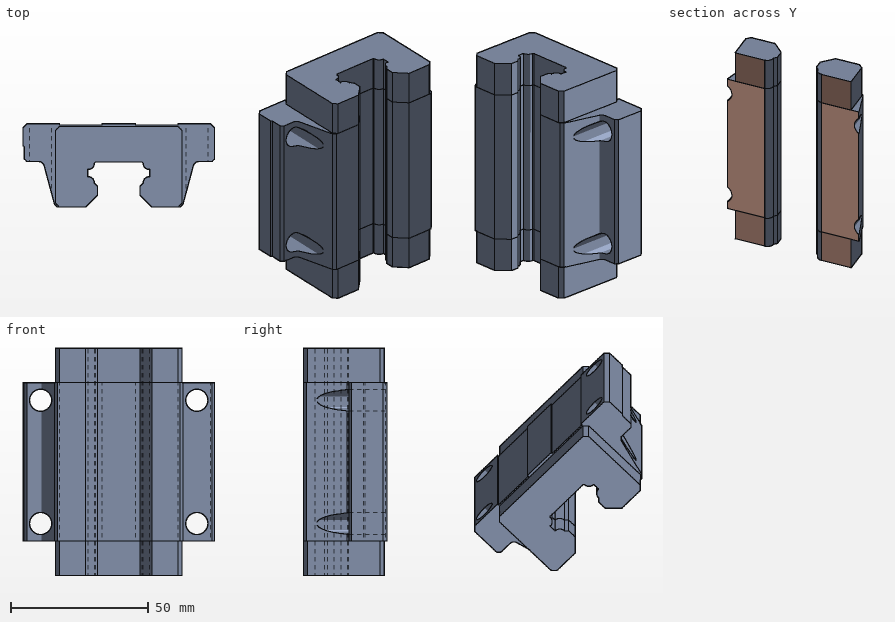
import cadquery as cq
import math


overall_length = 83.0
block_length = 57.8
cap_length = (overall_length - block_length) / 2
carriage_depth = 30.5

flange_width = 70.0
flange_thickness = 13.9
flange_top_chamfer = 1.5
flange_bottom_chamfer = 1.0
skirt_slope = math.radians(15)
skirt_half_width = 23.5
skirt_chamfer = 1.1
skirt_fillet = 2.0

edge_relief_depth = 0.5
edge_relief_start = 8.0

face_recess_depth = 0.5
face_recess_inner = 6.2
face_recess_outer = 21.6
face_recess_width = face_recess_outer - face_recess_inner

hole_diameter = 8.0
hole_spacing_x = 57.0
hole_spacing_z = 45.0

cap_width = 46.2
cap_top_drop = 1.0
cap_chamfer = 1.5
cap_depth = carriage_depth - cap_top_drop

channel_roof = 14.1
channel_half_throat = 7.75
channel_mouth_chamfer = 4.3
ball_line = 18.05
ball_row_offset = 3.65
ball_radius = 2.4
ball_center_x = 11.25
pocket_half_height = 1.3


def rail_channel():
    """Void swept by the rail and its ball rows, built on the +X half and mirrored."""
    upper_row = -ball_line + ball_row_offset
    lower_row = -ball_line - ball_row_offset
    nose_x = ball_center_x - ball_radius
    arc_middle = ball_radius * math.sqrt(0.5)
    pocket_rise = ball_row_offset - pocket_half_height
    pocket_edge_x = ball_center_x - math.sqrt(ball_radius**2 - pocket_rise**2)
    roof_x = nose_x + channel_roof + upper_row
    throat_top = lower_row - (nose_x - channel_half_throat)
    throat_bottom = -carriage_depth + channel_mouth_chamfer
    half = (
        cq.Workplane("XY")
        .moveTo(0, -channel_roof)
        .lineTo(roof_x, -channel_roof)
        .lineTo(nose_x, upper_row)
        .threePointArc(
            (ball_center_x - arc_middle, upper_row - arc_middle),
            (pocket_edge_x, -ball_line + pocket_half_height),
        )
        .lineTo(ball_center_x, -ball_line + pocket_half_height)
        .lineTo(ball_center_x, -ball_line - pocket_half_height)
        .lineTo(pocket_edge_x, -ball_line - pocket_half_height)
        .threePointArc(
            (ball_center_x - arc_middle, lower_row + arc_middle),
            (nose_x, lower_row),
        )
        .lineTo(channel_half_throat, throat_top)
        .lineTo(channel_half_throat, throat_bottom)
        .lineTo(channel_half_throat + channel_mouth_chamfer, -carriage_depth)
        .lineTo(0, -carriage_depth)
        .close()
        .extrude(overall_length / 2, both=True)
    )
    return half.union(half.mirror("YZ"))


def block_blank():
    """Flanged outline with sloped skirts, chamfered bottom corners and filleted flange roots."""
    half_flange = flange_width / 2
    skirt_end = -carriage_depth + skirt_chamfer
    root_x = skirt_half_width + (-flange_thickness - skirt_end) * math.tan(skirt_slope)
    half = (
        cq.Workplane("XY")
        .moveTo(0, 0)
        .lineTo(half_flange - flange_top_chamfer, 0)
        .lineTo(half_flange, -flange_top_chamfer)
        .lineTo(half_flange, -flange_thickness + flange_bottom_chamfer)
        .lineTo(half_flange - flange_bottom_chamfer, -flange_thickness)
        .lineTo(root_x, -flange_thickness)
        .lineTo(skirt_half_width, skirt_end)
        .lineTo(skirt_half_width - skirt_chamfer, -carriage_depth)
        .lineTo(0, -carriage_depth)
        .close()
        .extrude(block_length / 2, both=True)
    )
    root_edge = cq.selectors.NearestToPointSelector((root_x, -flange_thickness, 0))
    half = half.edges(root_edge).fillet(skirt_fillet)
    return half.union(half.mirror("YZ"))


def edge_relief():
    """Strip removed from the -X flange edge, with 45 degree lead-in and bottom chamfer."""
    outer = -flange_width / 2
    inner = outer + edge_relief_depth
    return (
        cq.Workplane("XY")
        .moveTo(outer, -edge_relief_start)
        .lineTo(inner, -edge_relief_start - edge_relief_depth)
        .lineTo(inner, -flange_thickness + flange_bottom_chamfer)
        .lineTo(inner + flange_bottom_chamfer, -flange_thickness)
        .lineTo(outer, -flange_thickness)
        .close()
        .extrude(block_length / 2, both=True)
    )


def face_recesses():
    """Two shallow lengthwise recesses in the mounting face, one each side of the centre land."""
    recess_x = (face_recess_inner + face_recess_outer) / 2
    return (
        cq.Workplane("XY")
        .pushPoints([(-recess_x, 0), (recess_x, 0)])
        .rect(face_recess_width, 2 * face_recess_depth)
        .extrude(block_length / 2, both=True)
    )


def mounting_holes():
    """Four holes along Y that also scallop the sloped skirts."""
    return (
        cq.Workplane("XZ")
        .rarray(hole_spacing_x, hole_spacing_z, 2, 2)
        .circle(hole_diameter / 2)
        .extrude(carriage_depth)
    )


def make_block():
    return (
        block_blank()
        .cut(edge_relief())
        .cut(face_recesses())
        .cut(mounting_holes())
        .cut(rail_channel())
    )


def make_end_cap(end):
    """End cap against the block's +Z face (end = 1) or -Z face (end = -1)."""
    center_z = end * (block_length + cap_length) / 2
    center_y = -cap_top_drop - cap_depth / 2
    return (
        cq.Workplane("XY")
        .box(cap_width, cap_depth, cap_length)
        .edges("|Z")
        .chamfer(cap_chamfer)
        .translate((0, center_y, center_z))
        .cut(rail_channel())
    )


block = make_block()
end_caps = [make_end_cap(end) for end in (-1, 1)]

result = cq.Compound.makeCompound([block.val(), *[cap.val() for cap in end_caps]])